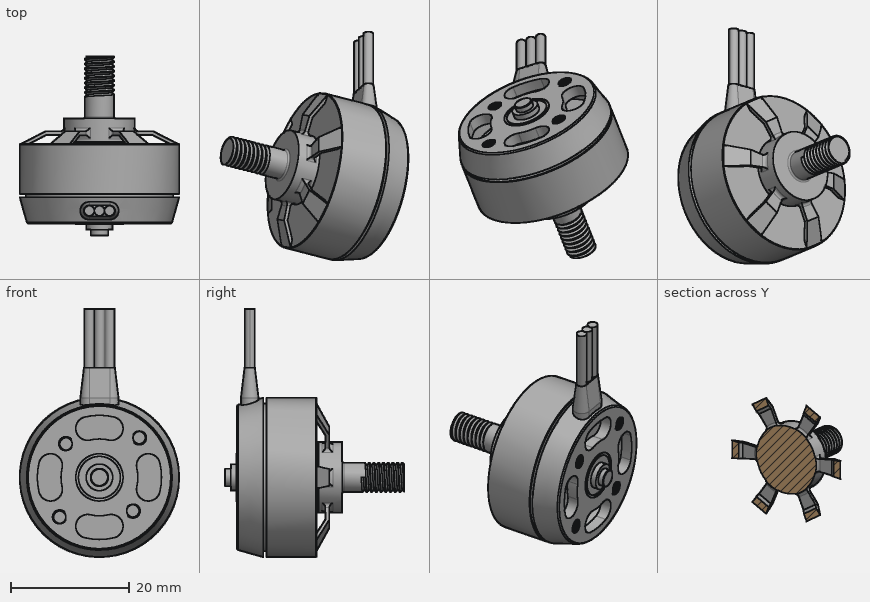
import cadquery as cq
import math


base_radius = 13.5
base_height = 4.5
base_foot_radius = 12.3
base_rim_chamfer = 0.25
plate_thickness = 2.0
cavity_radius = 12.0
cavity_floor_y = 5.5

bell_radius = base_radius
bell_bottom_y = 5.0
bell_top_y = 13.5
bell_edge_chamfer = 0.1
gap_radius = 12.5

collar_radius = 4.0
collar_inner_radius = 3.55
collar_height = 0.1
spacer_radius = 2.25
spacer_height = 1.0
shaft_radius = 1.5
shaft_protrusion = 2.0
shaft_chamfer = 0.1

hub_radius = 6.0
hub_bottom_y = 13.8
hub_top_y = 17.8
stud_radius = 2.5
stud_foot_fillet = 0.3
stud_tip_y = 28.3
stud_thread_bottom_y = 21.0
stud_thread_pitch = 0.8
stud_thread_depth = 0.43

spoke_count = 6
spoke_thickness = 0.65
spoke_top_y = 15.65
spoke_bend_radius = 9.1
spoke_end_radius = 13.3
spoke_root_width = 2.1
spoke_end_width = 3.8
spoke_root_fillet = 0.6
spoke_sink = 0.1

slot_count = 4
slot_path_radius = 8.5
slot_end_radius = 2.0
slot_half_length = 4.0
mount_wide_spacing = 19.0
mount_narrow_spacing = 16.0
mount_hole_radius = 1.05
mount_thread_pitch = 0.45
mount_thread_depth = 0.17

wire_count = 3
wire_radius = 0.86
wire_spacing = 1.71
wire_y = 2.2
wire_top_z = 28.5
boot_taper_bottom_z = base_radius
boot_height = 5.0
boot_straight_width = 3.5
boot_root_z = 11.5
boot_bottom_radius = 1.5
boot_top_radius = 0.9

thread_flat_share = 0.12
thread_base_overlap = 0.1

overrun = 0.5


def revolved(points):
    """Solid of revolution about the Y axis from (radius, y) points."""
    return cq.Workplane("XY").polyline(points).close().revolve(360, (0, 0, 0), (0, 1, 0))


def disc(radius, y_start, y_end):
    """Cylinder on the Y axis."""
    return cq.Workplane("XZ", origin=(0, y_start, 0)).circle(radius).extrude(y_start - y_end)


def with_turned_seam(cylinder):
    """The same cylinder with its seam line a quarter turn away from where a thread starts."""
    return cylinder.rotate((0, 0, 0), (0, 1, 0), 90)


def v_thread(surface_radius, apex_radius, pitch, y_start, y_end):
    """Helical V ridge about the Y axis, based on the surface radius and pointing at the apex radius."""
    path = cq.Wire.makeHelix(pitch, y_end - y_start, surface_radius)
    ridge_base_radius = surface_radius - thread_base_overlap * (apex_radius - surface_radius)
    half_width = (1 - thread_flat_share) * pitch / 2 * (1 + thread_base_overlap)
    profile = [(ridge_base_radius, -half_width), (ridge_base_radius, half_width), (apex_radius, 0)]
    ridge = cq.Workplane("XZ").polyline(profile).close().sweep(cq.Workplane(obj=path), isFrenet=True)
    return ridge.rotate((0, 0, 0), (1, 0, 0), -90).translate((0, y_start, 0))


def make_body():
    """Base, bell and the neck between them, with the cavity behind the plate."""
    base = revolved([
        (0, 0),
        (base_foot_radius - base_rim_chamfer, 0),
        (base_foot_radius, base_rim_chamfer),
        (base_radius, base_height),
        (0, base_height),
    ])
    bell = disc(bell_radius, bell_bottom_y, bell_top_y).edges().chamfer(bell_edge_chamfer)
    neck = disc(gap_radius, base_height, bell_bottom_y)
    cavity = disc(cavity_radius, plate_thickness, cavity_floor_y)
    bearing_tube = disc(collar_radius, plate_thickness, cavity_floor_y)
    return base.union(neck).union(bell).cut(cavity.cut(bearing_tube))


def make_shaft_end():
    """Raised collar, spacer and shaft tip on the mounting face."""
    collar = disc(collar_radius, -collar_height, 0).cut(disc(collar_inner_radius, -collar_height, 0))
    spacer = disc(spacer_radius, -spacer_height, 0)
    shaft = disc(shaft_radius, -shaft_protrusion, 0).faces("<Y").chamfer(shaft_chamfer)
    return collar.union(spacer).union(shaft)


def make_slot():
    """Curved slot through the plate, centred on +Z."""
    half_angle = math.asin((slot_half_length - slot_end_radius) / slot_path_radius)
    inner_radius = slot_path_radius - slot_end_radius
    outer_radius = slot_path_radius + slot_end_radius

    def at(radius, angle):
        return (radius * math.sin(angle), radius * math.cos(angle))

    def end_tip(side):
        x, z = at(slot_path_radius, side * half_angle)
        return (
            x + side * slot_end_radius * math.cos(half_angle),
            z - slot_end_radius * math.sin(half_angle),
        )

    return (
        cq.Workplane("XZ", origin=(0, -overrun, 0))
        .moveTo(*at(outer_radius, -half_angle))
        .threePointArc(at(outer_radius, 0), at(outer_radius, half_angle))
        .threePointArc(end_tip(1), at(inner_radius, half_angle))
        .threePointArc(at(inner_radius, 0), at(inner_radius, -half_angle))
        .threePointArc(end_tip(-1), at(outer_radius, -half_angle))
        .close()
        .extrude(-(plate_thickness + 2 * overrun))
    )


def cut_slots(body):
    """Equally spaced curved slots around the axis."""
    slot = make_slot()
    for index in range(slot_count):
        body = body.cut(slot.rotate((0, 0, 0), (0, 1, 0), index * 360 / slot_count))
    return body


def cut_mount_holes(body):
    """Two pairs of threaded holes on the plate's diagonals."""
    bore = with_turned_seam(disc(mount_hole_radius, -overrun, plate_thickness + overrun))
    thread = v_thread(
        mount_hole_radius,
        mount_hole_radius + mount_thread_depth,
        mount_thread_pitch,
        -mount_thread_pitch,
        plate_thickness + mount_thread_pitch,
    )
    hole = bore.union(thread)
    diagonal = math.sqrt(0.5)
    for spacing, x_side in ((mount_wide_spacing, 1), (mount_narrow_spacing, -1)):
        for z_side in (1, -1):
            z = z_side * spacing / 2 * diagonal
            x = x_side * z
            turn = 0 if x > 0 else 180
            body = body.cut(hole.rotate((0, 0, 0), (0, 1, 0), turn).translate((x, 0, z)))
    return body


def make_spoke():
    """Bent spoke along +X that widens outwards."""
    bottom_y = spoke_top_y - spoke_thickness
    slope = (spoke_top_y - bell_top_y) / (spoke_end_radius - spoke_bend_radius)
    drop_angle = math.atan(slope)
    lower_bend_radius = spoke_bend_radius - spoke_thickness * math.tan(drop_angle / 2)
    lower_end_radius = lower_bend_radius + (bottom_y - bell_top_y) / slope
    start_radius = hub_radius / 2
    side_view = (
        cq.Workplane("XY")
        .polyline([
            (start_radius, spoke_top_y),
            (spoke_bend_radius, spoke_top_y),
            (spoke_end_radius, bell_top_y),
            (spoke_end_radius, bell_top_y - spoke_sink),
            (lower_end_radius, bell_top_y - spoke_sink),
            (lower_end_radius, bell_top_y),
            (lower_bend_radius, bottom_y),
            (start_radius, bottom_y),
        ])
        .close()
        .extrude(spoke_end_width, both=True)
    )
    widening = (spoke_end_width - spoke_root_width) / (spoke_end_radius - hub_radius)
    start_half_width = (spoke_root_width - widening * (hub_radius - start_radius)) / 2
    end_half_width = spoke_end_width / 2
    plan = (
        cq.Workplane("XZ", origin=(0, bell_bottom_y, 0))
        .polyline([
            (start_radius, -start_half_width),
            (spoke_end_radius, -end_half_width),
            (spoke_end_radius, end_half_width),
            (start_radius, start_half_width),
        ])
        .close()
        .extrude(bell_bottom_y - hub_top_y)
    )
    return side_view.intersect(plan)


def on_hub_wall(edge):
    """True for the edges where the spokes run into the hub's side."""
    tolerance = 0.001
    vertices = edge.Vertices()
    between_rims = all(hub_bottom_y + tolerance < v.Y < hub_top_y - tolerance for v in vertices)
    return between_rims and all(abs(math.hypot(v.X, v.Z) - hub_radius) < tolerance for v in vertices)


def make_hub():
    """Hub with its spokes, each blended into the hub wall."""
    hub = disc(hub_radius, hub_bottom_y, hub_top_y)
    spoke = make_spoke()
    for index in range(spoke_count):
        hub = hub.union(spoke.rotate((0, 0, 0), (0, 1, 0), index * 360 / spoke_count))
    root_edges = [edge for edge in hub.edges().vals() if on_hub_wall(edge)]
    return hub.newObject(root_edges).fillet(spoke_root_fillet)


def make_stud():
    """Stud with a flared foot and a helical thread up to its tip."""
    foot_outer = stud_radius + stud_foot_fillet
    foot_top_y = hub_top_y + stud_foot_fillet
    arc_reach = stud_foot_fillet * (1 - math.sqrt(0.5))
    stud = (
        cq.Workplane("XY")
        .moveTo(0, hub_bottom_y)
        .lineTo(foot_outer, hub_bottom_y)
        .lineTo(foot_outer, hub_top_y)
        .threePointArc((stud_radius + arc_reach, hub_top_y + arc_reach), (stud_radius, foot_top_y))
        .lineTo(stud_radius, stud_thread_bottom_y)
        .lineTo(0, stud_thread_bottom_y)
        .close()
        .revolve(360, (0, 0, 0), (0, 1, 0))
    )
    rod = with_turned_seam(disc(stud_radius, stud_thread_bottom_y, stud_tip_y))
    groove = v_thread(
        stud_radius,
        stud_radius - stud_thread_depth,
        stud_thread_pitch,
        stud_thread_bottom_y + stud_thread_pitch / 2,
        stud_tip_y + stud_thread_pitch / 2,
    )
    return stud.union(rod.cut(groove))


def make_leads():
    """Three parallel wires and the tapered boot around their root."""

    def section(z, radius):
        width = boot_straight_width + 2 * radius
        return cq.Workplane("XY", origin=(0, wire_y, z)).slot2D(width, 2 * radius)

    root = section(boot_root_z, boot_bottom_radius).extrude(boot_taper_bottom_z - boot_root_z)
    taper_angle = math.degrees(math.atan((boot_bottom_radius - boot_top_radius) / boot_height))
    taper = section(boot_taper_bottom_z, boot_bottom_radius).extrude(boot_height, taper=taper_angle)
    leads = root.union(taper)
    for index in range(wire_count):
        x = (index - (wire_count - 1) / 2) * wire_spacing
        wire = (
            cq.Workplane("XY", origin=(x, wire_y, boot_taper_bottom_z))
            .circle(wire_radius)
            .extrude(wire_top_z - boot_taper_bottom_z)
        )
        leads = leads.union(wire)
    return leads


body = make_body().union(make_shaft_end())
body = cut_mount_holes(cut_slots(body))
propeller_mount = make_hub().union(make_stud())
result = body.union(make_leads()).union(propeller_mount)